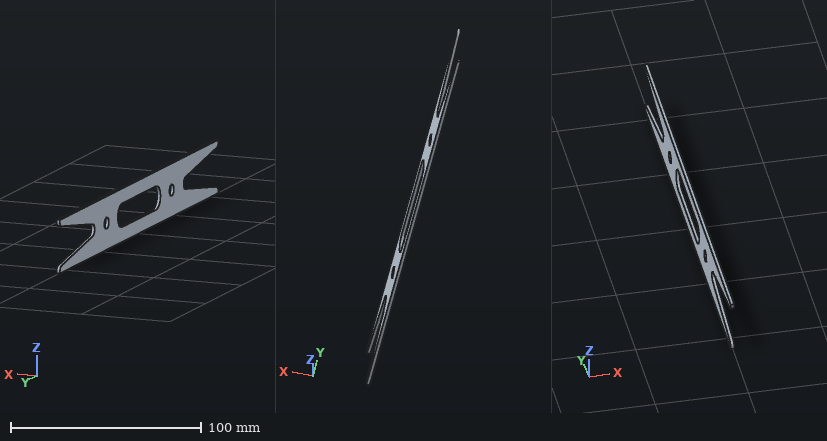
import cadquery as cq
import math

length = 220.0
height = 28.8
thickness = 2.0

slot_length = 59.0
slot_width = 12.5
hole_diameter = 6.0
hole_offset = 45.0

notch_depth = 48.2
notch_mouth_width = 21.8
notch_root_radius = 3.3
tip_radius = 2.9

root_center = length / 2 - notch_depth + notch_root_radius
mouth_run = length / 2 - root_center
mouth_half = notch_mouth_width / 2
wall_angle = math.atan2(mouth_half, mouth_run)
wall_angle -= math.asin(notch_root_radius / math.hypot(mouth_run, mouth_half))
tangent_y = root_center - notch_root_radius * math.sin(wall_angle)
tangent_z = notch_root_radius * math.cos(wall_angle)


def end_notch():
    """Notch cutter at the +Y end, with a fully rounded root."""
    return (
        cq.Workplane("YZ")
        .moveTo(length / 2, mouth_half)
        .lineTo(tangent_y, tangent_z)
        .threePointArc((length / 2 - notch_depth, 0), (tangent_y, -tangent_z))
        .lineTo(length / 2, -mouth_half)
        .close()
        .extrude(thickness / 2, both=True)
    )


plate = cq.Workplane("YZ").rect(length, height).extrude(thickness / 2, both=True)

notch = end_notch()
plate = plate.cut(notch).cut(notch.mirror("XZ"))

for end in (-1, 1):
    for side in (-1, 1):
        corner = (0, end * length / 2, side * mouth_half)
        plate = plate.edges("|X").edges(cq.NearestToPointSelector(corner)).fillet(tip_radius)

openings = (
    cq.Workplane("YZ")
    .slot2D(slot_length, slot_width)
    .pushPoints([(-hole_offset, 0), (hole_offset, 0)])
    .circle(hole_diameter / 2)
    .extrude(thickness / 2, both=True)
)

result = plate.cut(openings)